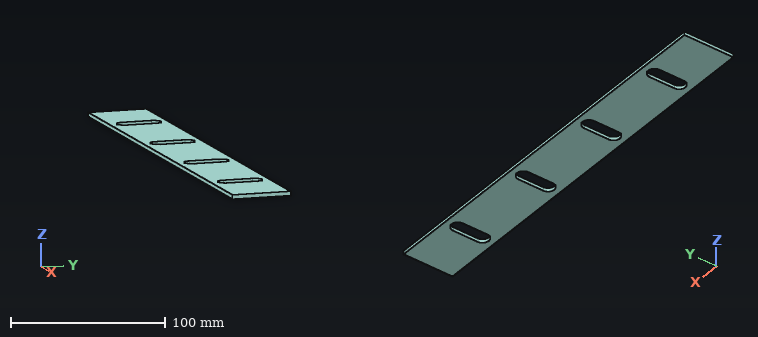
import cadquery as cq

length = 300.0
width = 40.0
thickness = 3.0

slot_count = 4
slot_pitch = 70.0
slot_length = 30.0
slot_width = 10.0


def make_plate():
    """Flat plate centred on X and Y, with its underside on Z = 0."""
    return cq.Workplane("XY").box(length, width, thickness, centered=(True, True, False))


def cut_slots(plate):
    """Cut the row of round-ended through slots, centred along the plate."""
    return (
        plate.faces(">Z")
        .workplane()
        .rarray(slot_pitch, 1, slot_count, 1)
        .slot2D(slot_length, slot_width, angle=90)
        .cutThruAll()
    )


result = cut_slots(make_plate())